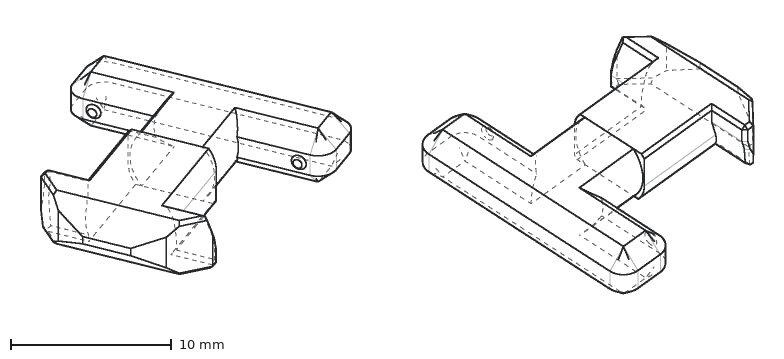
import cadquery as cq
import math


TOTAL_LENGTH = 18.05
THICKNESS = 4.0
HALF_THICKNESS = THICKNESS / 2
JOINT_Y = 9.91

BAR_WIDTH = 18.0
BAR_DEPTH = 4.5
BAR_BEVEL = 1.25
BAR_FRONT_Y = TOTAL_LENGTH - BAR_DEPTH
STEM_RADIUS = 2.89
NUB_OFFSET_X = 7.0
NUB_RADIUS = 0.5
NUB_HEIGHT = 0.2

SHANK_HALF_WIDTH = 3.01
EDGE_CHAMFER = 0.25
RELIEF_START_Z = -0.52
RELIEF_RADIUS = 2.38

HEAD_HALF_WIDTH = 5.87
HEAD_BACK_Y = 3.83
SHOULDER_HALF_WIDTH = 3.68
SHOULDER_Y = 0.87
TIP_HALF_WIDTH = 1.65
TIP_HALF_THICKNESS = 0.27
DRAFT_START_Z = 0.78
DRAFT_ANGLE = 15.0
WIDE_CHAMFER = 0.67
MARGIN = 1.8


def make_bar():
    """Bar with 45 degree bevels all round and conical corners."""
    middle_y = TOTAL_LENGTH - BAR_DEPTH / 2
    core_width = BAR_WIDTH - 2 * BAR_BEVEL
    core_depth = BAR_DEPTH - 2 * BAR_BEVEL
    edge_height = THICKNESS - 2 * BAR_BEVEL
    long_part = (
        cq.Workplane("XY").box(core_width, BAR_DEPTH, THICKNESS).edges("|X").chamfer(BAR_BEVEL)
    )
    end_part = (
        cq.Workplane("XY").box(BAR_WIDTH, core_depth, THICKNESS).edges("|Y").chamfer(BAR_BEVEL)
    )
    corner = (
        cq.Workplane("XZ")
        .polyline([
            (0, -HALF_THICKNESS),
            (BAR_BEVEL, -edge_height / 2),
            (BAR_BEVEL, edge_height / 2),
            (0, HALF_THICKNESS),
        ])
        .close()
        .revolve(360, (0, 0), (0, 1))
    )
    bar = long_part.union(end_part)
    for side_x in (-1, 1):
        for side_y in (-1, 1):
            bar = bar.union(corner.translate((side_x * core_width / 2, side_y * core_depth / 2, 0)))
    return bar.translate((0, middle_y, 0))


def make_stem():
    """Round stem along Y with flats at the top and bottom of the thickness."""
    stem_end_y = BAR_FRONT_Y + BAR_DEPTH / 2
    stem_length = stem_end_y - JOINT_Y
    cylinder = cq.Workplane("XZ", origin=(0, stem_end_y, 0)).circle(STEM_RADIUS).extrude(stem_length)
    slab = cq.Workplane("XY").box(2 * STEM_RADIUS, 2 * TOTAL_LENGTH, THICKNESS)
    return cylinder.intersect(slab)


def make_nub(x):
    """Small conical nub on the front face of the bar."""
    return cq.Workplane(
        cq.Solid.makeCone(
            NUB_RADIUS, NUB_RADIUS - NUB_HEIGHT, NUB_HEIGHT,
            pnt=cq.Vector(x, BAR_FRONT_Y, 0), dir=cq.Vector(0, -1, 0),
        )
    )


def make_handle():
    handle = make_bar().union(make_stem())
    for x in (-NUB_OFFSET_X, NUB_OFFSET_X):
        handle = handle.union(make_nub(x))
    return handle


def make_shank():
    """Shank whose section repeats after half a turn: one edge chamfered, the next rounded."""
    arc_height = HALF_THICKNESS + RELIEF_START_Z
    sweep = math.asin(arc_height / RELIEF_RADIUS)

    def arc_point(angle):
        x = -SHANK_HALF_WIDTH + RELIEF_RADIUS * (1 - math.cos(angle))
        z = RELIEF_START_Z - RELIEF_RADIUS * math.sin(angle)
        return x, z

    def half_turn(point):
        return -point[0], -point[1]

    chamfer_top = (-SHANK_HALF_WIDTH + EDGE_CHAMFER, HALF_THICKNESS)
    chamfer_side = (-SHANK_HALF_WIDTH, HALF_THICKNESS - EDGE_CHAMFER)
    arc_start = arc_point(0)
    arc_middle = arc_point(sweep / 2)
    arc_end = arc_point(sweep)
    return (
        cq.Workplane("XZ", origin=(0, JOINT_Y, 0))
        .moveTo(*chamfer_top)
        .lineTo(*chamfer_side)
        .lineTo(*arc_start)
        .threePointArc(arc_middle, arc_end)
        .lineTo(*half_turn(chamfer_top))
        .lineTo(*half_turn(chamfer_side))
        .lineTo(*half_turn(arc_start))
        .threePointArc(half_turn(arc_middle), half_turn(arc_end))
        .close()
        .extrude(JOINT_Y - HEAD_BACK_Y / 2)
    )


def back_face_y(z):
    """Position of the back face of the left wing at height z."""
    drop = max(DRAFT_START_Z - z, 0)
    return HEAD_BACK_Y - drop * math.tan(math.radians(DRAFT_ANGLE))


def make_corner_relief():
    """Trim below the middle plane that widens the corner chamfer of the wing downward."""

    def corner_triangle(z, size):
        back_y = back_face_y(z)
        return [
            (-HEAD_HALF_WIDTH, back_y),
            (-HEAD_HALF_WIDTH + size, back_y),
            (-HEAD_HALF_WIDTH, back_y - size),
        ]

    return (
        cq.Workplane("XY")
        .polyline(corner_triangle(0, EDGE_CHAMFER))
        .close()
        .workplane(offset=-HALF_THICKNESS)
        .polyline(corner_triangle(-HALF_THICKNESS, WIDE_CHAMFER))
        .close()
        .loft(ruled=True)
    )


def make_head_wing():
    """Left half of the head: back face upright above, sloping forward below."""
    return (
        cq.Workplane("YZ")
        .polyline([
            (-MARGIN, HALF_THICKNESS),
            (HEAD_BACK_Y, HALF_THICKNESS),
            (HEAD_BACK_Y, DRAFT_START_Z),
            (back_face_y(-HALF_THICKNESS), -HALF_THICKNESS),
            (-MARGIN, -HALF_THICKNESS),
        ])
        .close()
        .extrude(-HEAD_HALF_WIDTH)
        .faces("<X or >Z or <Z")
        .edges("not >X")
        .chamfer(EDGE_CHAMFER)
        .cut(make_corner_relief())
    )


def make_head_front():
    """Front outline of the head with chamfered flanks, oversize at the back and sides."""
    outer_x = HEAD_HALF_WIDTH + MARGIN
    outer_y = SHOULDER_Y + outer_x - SHOULDER_HALF_WIDTH
    right_side = [(TIP_HALF_WIDTH, 0), (SHOULDER_HALF_WIDTH, SHOULDER_Y), (outer_x, outer_y)]
    left_side = [(-x, y) for x, y in reversed(right_side)]
    return (
        cq.Workplane("XY", origin=(0, 0, -HALF_THICKNESS))
        .polyline(right_side + left_side)
        .close()
        .extrude(THICKNESS)
        .faces("<Z or >Z")
        .edges()
        .chamfer(EDGE_CHAMFER)
    )


def make_nose_wedge():
    """Wedge that bevels the head at 45 degrees down to the thin tip."""
    bevel_length = HALF_THICKNESS - TIP_HALF_THICKNESS
    return (
        cq.Workplane("YZ")
        .polyline([
            (0, -TIP_HALF_THICKNESS),
            (bevel_length, -HALF_THICKNESS),
            (JOINT_Y, -HALF_THICKNESS),
            (JOINT_Y, HALF_THICKNESS),
            (bevel_length, HALF_THICKNESS),
            (0, TIP_HALF_THICKNESS),
        ])
        .close()
        .extrude(HEAD_HALF_WIDTH + MARGIN, both=True)
    )


def make_blade():
    left_wing = make_head_wing()
    right_wing = left_wing.rotate((0, 0, 0), (0, 1, 0), 180)
    head = left_wing.union(right_wing).intersect(make_head_front()).intersect(make_nose_wedge())
    return head.union(make_shank())


handle = make_handle()
blade = make_blade()
result = cq.Compound.makeCompound([handle.val(), blade.val()])